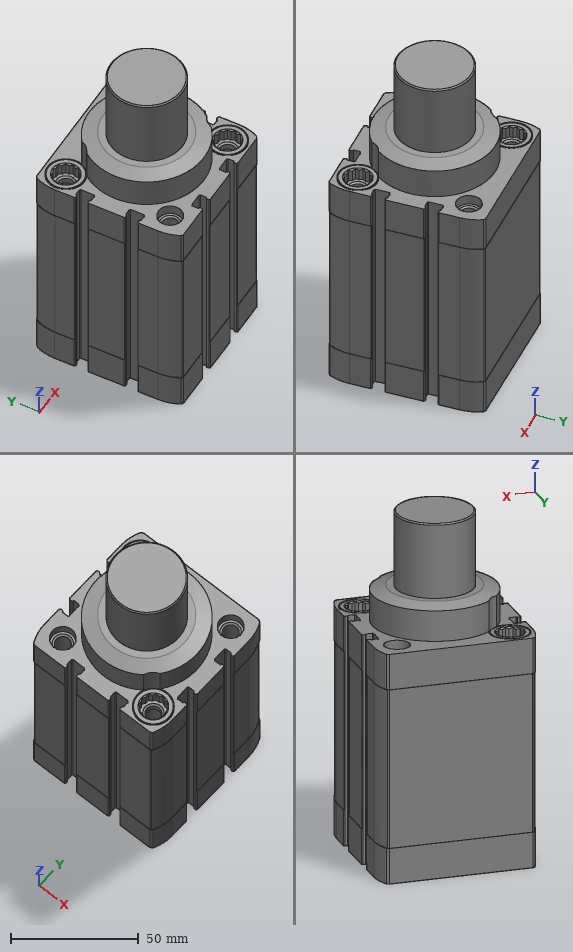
import cadquery as cq
import math

WIDTH = 65.5
TOTAL_HEIGHT = 141.0
HOUSING_HEIGHT = 95.6
CAP_HEIGHT = 14.8
BARREL_INSET = 0.1
CORNER_LENGTH = 9.7
CAP_CORNER_RADIUS = 20.5
BARREL_CORNER_RADIUS = 18.0
CAP_EDGE_CHAMFER = 0.7
BARREL_EDGE_CHAMFER = 0.4

COLLAR_DIAMETER = 51.2
COLLAR_EDGE_HEIGHT = 108.3
COLLAR_TOP_HEIGHT = 110.0
COLLAR_TOP_DIAMETER = 38.4
ROD_DIAMETER = 32.0
ROD_CHAMFER = 0.5

SLOT_OFFSET = 11.1
SLOT_MOUTH_WIDTH = 5.5
SLOT_MOUTH_DEPTH = 1.8
SLOT_BEVEL = 0.4
SLOT_INNER_WIDTH = 6.8
SLOT_DEPTH = 5.0

HOLE_OFFSET = 23.3
HOLE_DIAMETER = 6.6
COUNTERSINK_DIAMETER = 8.3
COUNTERSINK_DEPTH = 0.5
HOLE_COUNTERBORE_DIAMETER = 10.5
HOLE_COUNTERBORE_DEPTH = 4.2

SCREW_DIAMETER = 16.4
SCREW_HEIGHT = 8.5
SCREW_CHAMFER = 0.4
SOCKET_ACROSS_FLATS = 10.2
SOCKET_DEPTH = 5.4
SOCKET_ENTRY_DIAMETER = 12.0
SOCKET_ENTRY_DEPTH = 0.8
SOCKET_DIAMETER = SOCKET_ACROSS_FLATS / math.cos(math.pi / 6)

PLAIN_HOLE_CENTERS = [(HOLE_OFFSET, HOLE_OFFSET), (-HOLE_OFFSET, -HOLE_OFFSET)]
SCREW_CENTERS = [(-HOLE_OFFSET, HOLE_OFFSET), (HOLE_OFFSET, -HOLE_OFFSET)]


def housing_section(bottom, height, inset, corner_radius, edge_chamfer):
    """Prism with flat sides and arcs at the corners, set in from the full width."""
    half = WIDTH / 2 - inset
    arc_start = WIDTH / 2 - CORNER_LENGTH
    arc_angle = math.asin((half - arc_start) / corner_radius)

    def arc_point(angle):
        x = half - corner_radius * (1 - math.cos(angle))
        y = arc_start + corner_radius * math.sin(angle)
        return x, y

    mid_x, mid_y = arc_point(arc_angle / 2)
    end_x, end_y = arc_point(arc_angle)
    prism = (
        cq.Workplane("XY", origin=(0, 0, bottom))
        .moveTo(half, -arc_start)
        .lineTo(half, arc_start)
        .threePointArc((mid_x, mid_y), (end_x, end_y))
        .lineTo(-end_x, end_y)
        .threePointArc((-mid_x, mid_y), (-half, arc_start))
        .lineTo(-half, -arc_start)
        .threePointArc((-mid_x, -mid_y), (-end_x, -end_y))
        .lineTo(end_x, -end_y)
        .threePointArc((mid_x, -mid_y), (half, -arc_start))
        .close()
        .extrude(height)
    )
    return prism.edges("|Z and (>Y or <Y)").chamfer(edge_chamfer)


def collar_and_rod():
    """Collar with a conical top edge and the rod above it, turned about Z."""
    rod_radius = ROD_DIAMETER / 2
    collar_radius = COLLAR_DIAMETER / 2
    base = HOUSING_HEIGHT - CAP_HEIGHT / 2
    return (
        cq.Workplane("XZ")
        .moveTo(0, base)
        .lineTo(collar_radius, base)
        .lineTo(collar_radius, COLLAR_EDGE_HEIGHT)
        .lineTo(COLLAR_TOP_DIAMETER / 2, COLLAR_TOP_HEIGHT)
        .lineTo(rod_radius, COLLAR_TOP_HEIGHT)
        .lineTo(rod_radius, TOTAL_HEIGHT - ROD_CHAMFER)
        .lineTo(rod_radius - ROD_CHAMFER, TOTAL_HEIGHT)
        .lineTo(0, TOTAL_HEIGHT)
        .close()
        .revolve(360, (0, 0, 0), (0, 1, 0))
    )


def sensor_slot(offset, side_angle):
    """T-shaped slot cutter in the -Y side, turned about Z to the wanted side."""
    side = -WIDTH / 2
    floor = side + SLOT_DEPTH
    shoulder = side + SLOT_MOUTH_DEPTH
    mouth_half = SLOT_MOUTH_WIDTH / 2
    inner_half = SLOT_INNER_WIDTH / 2
    right_half = [
        (mouth_half + SLOT_BEVEL, side),
        (mouth_half, side + SLOT_BEVEL),
        (mouth_half, shoulder - SLOT_BEVEL),
        (mouth_half + SLOT_BEVEL, shoulder),
        (inner_half, shoulder),
        (inner_half, floor - SLOT_BEVEL),
        (inner_half - SLOT_BEVEL, floor),
    ]
    left_half = [(-x, y) for x, y in reversed(right_half)]
    outline = [(x + offset, y) for x, y in right_half + left_half]
    slot = cq.Workplane("XY").polyline(outline).close().extrude(HOUSING_HEIGHT)
    return slot.rotate((0, 0, 0), (0, 0, 1), side_angle)


def cone_cutter(center, top_height, top_diameter, bottom_diameter, depth):
    """Conical cutter that narrows downwards from the given height."""
    cone = cq.Solid.makeCone(bottom_diameter / 2, top_diameter / 2, depth)
    return cq.Workplane(cone.moved(cq.Location(cq.Vector(*center, top_height - depth))))


def bore_countersink(center, top_height):
    return cone_cutter(center, top_height, COUNTERSINK_DIAMETER, HOLE_DIAMETER, COUNTERSINK_DEPTH)


def build_housing():
    barrel_height = HOUSING_HEIGHT - 2 * CAP_HEIGHT
    housing = housing_section(
        CAP_HEIGHT, barrel_height, BARREL_INSET, BARREL_CORNER_RADIUS, BARREL_EDGE_CHAMFER
    )
    for cap_bottom in (0, HOUSING_HEIGHT - CAP_HEIGHT):
        cap = housing_section(cap_bottom, CAP_HEIGHT, 0, CAP_CORNER_RADIUS, CAP_EDGE_CHAMFER)
        housing = housing.union(cap)
    housing = housing.union(collar_and_rod())

    for side_angle in (0, 90, -90):
        for offset in (-SLOT_OFFSET, SLOT_OFFSET):
            housing = housing.cut(sensor_slot(offset, side_angle))

    holes = (
        cq.Workplane("XY")
        .pushPoints(PLAIN_HOLE_CENTERS + SCREW_CENTERS)
        .circle(HOLE_DIAMETER / 2)
        .extrude(HOUSING_HEIGHT)
    )
    housing = housing.cut(holes)

    seat_height = HOUSING_HEIGHT - HOLE_COUNTERBORE_DEPTH
    counterbores = (
        cq.Workplane("XY", origin=(0, 0, seat_height))
        .pushPoints(PLAIN_HOLE_CENTERS)
        .circle(HOLE_COUNTERBORE_DIAMETER / 2)
        .extrude(HOLE_COUNTERBORE_DEPTH)
    )
    housing = housing.cut(counterbores)
    for center in PLAIN_HOLE_CENTERS:
        housing = housing.cut(bore_countersink(center, seat_height))

    recess_floor = HOUSING_HEIGHT - SCREW_HEIGHT
    recesses = (
        cq.Workplane("XY", origin=(0, 0, recess_floor))
        .pushPoints(SCREW_CENTERS)
        .circle(SCREW_DIAMETER / 2)
        .extrude(TOTAL_HEIGHT - recess_floor)
    )
    return housing.cut(recesses)


def build_screw(center):
    """Hollow screw, flush with the housing top, with a multi-point socket."""
    socket_floor = HOUSING_HEIGHT - SOCKET_DEPTH
    screw = (
        cq.Workplane("XY", origin=(*center, HOUSING_HEIGHT - SCREW_HEIGHT))
        .circle(SCREW_DIAMETER / 2)
        .extrude(SCREW_HEIGHT)
        .faces(">Z")
        .chamfer(SCREW_CHAMFER)
        .faces("<Z")
        .workplane()
        .hole(HOLE_DIAMETER)
    )

    for turn in (0, 30):
        hexagon = (
            cq.Workplane("XY", origin=(*center, socket_floor))
            .transformed(rotate=(0, 0, turn))
            .polygon(6, SOCKET_DIAMETER)
            .extrude(SOCKET_DEPTH)
        )
        screw = screw.cut(hexagon)

    entry = cone_cutter(
        center, HOUSING_HEIGHT, SOCKET_ENTRY_DIAMETER, SOCKET_ACROSS_FLATS, SOCKET_ENTRY_DEPTH
    )
    return screw.cut(entry).cut(bore_countersink(center, socket_floor))


housing = build_housing()
screws = [build_screw(center).val() for center in SCREW_CENTERS]

result = cq.Compound.makeCompound([housing.val(), *screws])